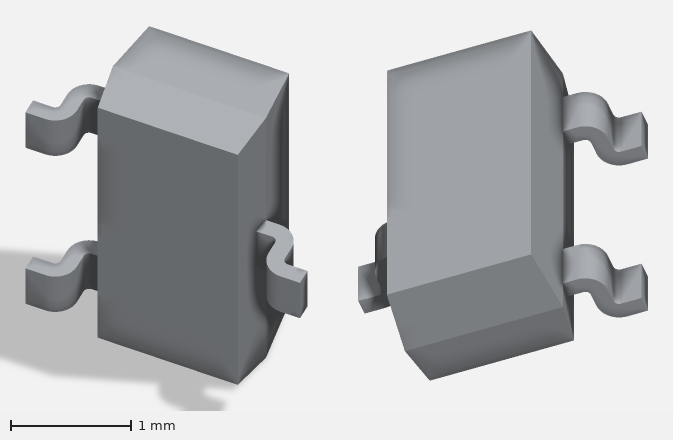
import cadquery as cq
import math


overall_span = 2.51
body_width = 1.40
body_length = 2.92

front_depth = 0.43
back_depth = 0.59
draft_inset = 0.06

lead_thickness = 0.15
lead_width = 0.43
lead_pitch = 1.90
standoff = 0.10
foot_length = 0.18
inner_bend_radius = 0.05
outer_bend_radius = inner_bend_radius + lead_thickness


def body_half(depth, direction):
    """Frustum from the parting plane to one end face, toward direction * Y."""
    end_width = body_width - 2 * draft_inset
    end_length = body_length - 2 * draft_inset
    parting_plane = cq.Plane(origin=(0, 0, 0), xDir=(1, 0, 0), normal=(0, direction, 0))
    return (
        cq.Workplane(parting_plane)
        .rect(body_width, body_length)
        .workplane(offset=depth)
        .rect(end_width, end_length)
        .loft(ruled=True)
    )


def make_body():
    halves = body_half(front_depth, -1).union(body_half(back_depth, 1))
    return halves.solids()


def make_lead(side, z_center):
    """Gull-wing lead on the +X (side = 1) or -X (side = -1) face of the body."""
    tip_x = overall_span / 2
    foot_bend_x = tip_x - foot_length
    shank_outer_x = foot_bend_x - inner_bend_radius
    shank_inner_x = shank_outer_x - lead_thickness
    shoulder_bend_x = shank_outer_x - outer_bend_radius
    root_top_x = body_width / 2
    root_bottom_x = root_top_x - draft_inset * lead_thickness / front_depth

    shoulder_top = 0
    shoulder_bottom = shoulder_top - lead_thickness
    foot_bottom = -(front_depth + standoff)
    foot_top = foot_bottom + lead_thickness
    shank_top = shoulder_top - outer_bend_radius
    shank_bottom = foot_bottom + outer_bend_radius

    diagonal = math.sqrt(0.5)
    outer_mid = outer_bend_radius * diagonal
    inner_mid = inner_bend_radius * diagonal

    def at(x, y):
        return (side * x, y)

    profile = (
        cq.Workplane("XY", origin=(0, 0, z_center - lead_width / 2))
        .moveTo(*at(root_top_x, shoulder_top))
        .lineTo(*at(shoulder_bend_x, shoulder_top))
        .threePointArc(
            at(shoulder_bend_x + outer_mid, shank_top + outer_mid),
            at(shank_outer_x, shank_top),
        )
        .lineTo(*at(shank_outer_x, shank_bottom))
        .threePointArc(
            at(foot_bend_x - inner_mid, shank_bottom - inner_mid),
            at(foot_bend_x, foot_top),
        )
        .lineTo(*at(tip_x, foot_top))
        .lineTo(*at(tip_x, foot_bottom))
        .lineTo(*at(foot_bend_x, foot_bottom))
        .threePointArc(
            at(foot_bend_x - outer_mid, shank_bottom - outer_mid),
            at(shank_inner_x, shank_bottom),
        )
        .lineTo(*at(shank_inner_x, shank_top))
        .threePointArc(
            at(shoulder_bend_x + inner_mid, shank_top + inner_mid),
            at(shoulder_bend_x, shoulder_bottom),
        )
        .lineTo(*at(root_bottom_x, shoulder_bottom))
        .close()
    )
    return profile.extrude(lead_width)


lead_positions = [
    (-1, lead_pitch / 2),
    (-1, -lead_pitch / 2),
    (1, 0),
]

body = make_body()
leads = [make_lead(side, z_center) for side, z_center in lead_positions]

result = cq.Compound.makeCompound([body.val(), *[lead.val() for lead in leads]])